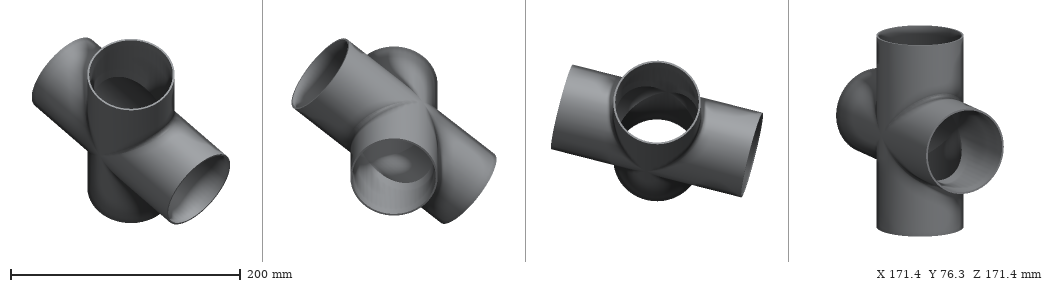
import cadquery as cq

length = 171.4
outer_diameter = 76.3
inner_diameter = 73.0
crotch_radius = 3.3
seam_end_gap = 0.3


def crossed_cylinders(diameter):
    """Union of two equal cylinders along X and Z, centred on the origin."""
    along_x = cq.Workplane("YZ").circle(diameter / 2).extrude(length / 2, both=True)
    along_z = cq.Workplane("XY").circle(diameter / 2).extrude(length / 2, both=True)
    return along_x.union(along_z)


def blended_core():
    """Crossed cylinders trimmed at both Y sides, with the four crotch seams filleted."""
    core_depth = outer_diameter - 2 * seam_end_gap
    trim_block = cq.Workplane("XY").box(length, core_depth, length)
    core = crossed_cylinders(outer_diameter).intersect(trim_block)
    return core.edges("%ELLIPSE").fillet(crotch_radius)


outside = crossed_cylinders(outer_diameter).union(blended_core())
result = outside.cut(crossed_cylinders(inner_diameter))